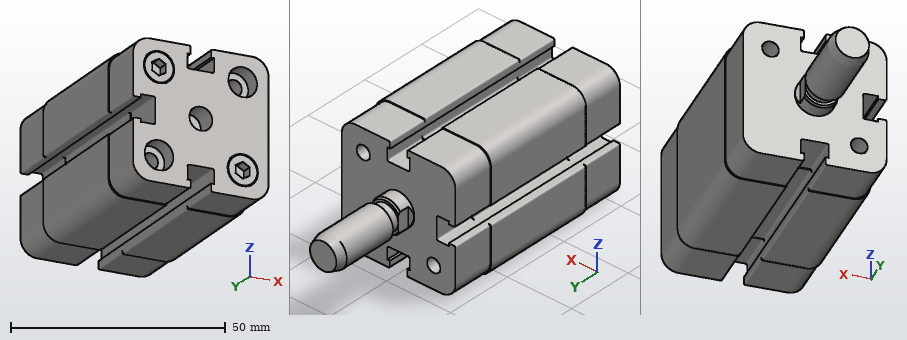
import cadquery as cq
import math


barrel_width = 36.1
cap_inset = 0.25
cap_width = barrel_width - 2 * cap_inset
corner_radius = 4.4
cap_length = 12.25
barrel_length = 33.5
body_length = barrel_length + 2 * cap_length

slot_mouth_width = 5.3
slot_inner_width = 6.9
slot_depth = 5.8
lip_inner_height = 15.7
slot_round = 0.5
slot_angles = (0, 90, 180)

hole_offset = 11.0
mount_bore_dia = 7.5
mount_bore_depth = 4.6
mount_hole_dia = 4.1
screw_recess_dia = 8.0
screw_head_dia = 7.5
screw_recess_depth = mount_bore_depth
hex_across_flats = 3.6
hex_depth = 2.95
center_hole_dia = 6.0
center_hole_depth = 6.0

total_length = 84.5
rod_radius = 10.0 / 2
neck_radius = 7.9 / 2
tip_radius = 8.3 / 2
tip_length = 2.7
collar_end = 62.5
collar_chamfer_length = 0.6
collar_chamfer_height = 0.3
thread_start = 65.5
thread_cone_length = 0.5
flat_half_width = 8.0 / 2
flat_land = 0.2
run_out_start = body_length + flat_land
flat_start = run_out_start + rod_radius - flat_half_width
rod_overlap = 0.85


def bar_along_y(sketch, start, length):
    """Extrude an XZ outline from Y = start towards +Y."""
    return sketch.extrude(-length).translate((0, start, 0))


def t_slot(face_distance, start, length):
    """T-slot cutter on the +Z side of a section whose flat face is at face_distance."""
    floor = face_distance - slot_depth
    half_mouth = slot_mouth_width / 2
    half_inner = slot_inner_width / 2
    flare = half_mouth + slot_round
    outline = (
        cq.Workplane("XZ")
        .moveTo(-half_inner + slot_round, floor)
        .lineTo(half_inner - slot_round, floor)
        .radiusArc((half_inner, floor + slot_round), -slot_round)
        .lineTo(half_inner, lip_inner_height)
        .lineTo(half_mouth, lip_inner_height)
        .lineTo(half_mouth, face_distance - slot_round)
        .radiusArc((flare, face_distance), slot_round)
        .lineTo(-flare, face_distance)
        .radiusArc((-half_mouth, face_distance - slot_round), slot_round)
        .lineTo(-half_mouth, lip_inner_height)
        .lineTo(-half_inner, lip_inner_height)
        .lineTo(-half_inner, floor + slot_round)
        .radiusArc((-half_inner + slot_round, floor), -slot_round)
        .close()
    )
    return bar_along_y(outline, start, length)


def body_section(width, start, length):
    """Rounded square section with its three T-slots."""
    section = bar_along_y(cq.Workplane("XZ").rect(width, width), start, length)
    section = section.edges("|Y").fillet(corner_radius)
    slot = t_slot(width / 2, start, length)
    for angle in slot_angles:
        section = section.cut(slot.rotate((0, 0, 0), (0, 1, 0), -angle))
    return section


def round_bars(points, diameter, length):
    """Cylinders from the rear face towards +Y, one at each (x, z) point."""
    return bar_along_y(cq.Workplane("XZ").pushPoints(points).circle(diameter / 2), 0, length)


def piston_rod():
    """Turned rod with collar, neck, thread and tapered tip, and two wrench flats on the collar."""
    rod = (
        cq.Workplane("XY")
        .moveTo(0, body_length - rod_overlap)
        .lineTo(rod_radius, body_length - rod_overlap)
        .lineTo(rod_radius, collar_end - collar_chamfer_length)
        .lineTo(rod_radius - collar_chamfer_height, collar_end)
        .lineTo(neck_radius, collar_end)
        .lineTo(neck_radius, thread_start - thread_cone_length)
        .lineTo(rod_radius, thread_start)
        .lineTo(rod_radius, total_length - tip_length)
        .lineTo(tip_radius, total_length)
        .lineTo(0, total_length)
        .close()
        .revolve(360, (0, 0), (0, 1))
    )
    flat_cut = (
        cq.Workplane("XY")
        .moveTo(flat_half_width, collar_end)
        .lineTo(flat_half_width, flat_start)
        .lineTo(rod_radius, run_out_start)
        .lineTo(rod_radius, collar_end)
        .close()
        .extrude(rod_radius, both=True)
    )
    return rod.cut(flat_cut).cut(flat_cut.mirror("YZ"))


def hex_sockets(points):
    """Hexagonal sockets with a corner pointing up, one at each (x, z) point."""
    corner_dia = hex_across_flats / math.cos(math.pi / 6)
    sketch = cq.Sketch().push(points).regularPolygon(corner_dia / 2, 6)
    return bar_along_y(cq.Workplane("XZ").placeSketch(sketch), 0, hex_depth)


mount_points = [(-hole_offset, -hole_offset), (hole_offset, hole_offset)]
screw_points = [(-hole_offset, hole_offset), (hole_offset, -hole_offset)]

body = body_section(barrel_width, cap_length, barrel_length)
for cap_start in (0, cap_length + barrel_length):
    body = body.union(body_section(cap_width, cap_start, cap_length))

body = body.cut(round_bars(mount_points, mount_hole_dia, body_length))
body = body.cut(round_bars(mount_points, mount_bore_dia, mount_bore_depth))

body = body.cut(round_bars(screw_points, screw_recess_dia, screw_recess_depth))
body = body.union(round_bars(screw_points, screw_head_dia, screw_recess_depth))
body = body.cut(hex_sockets(screw_points))

body = body.cut(round_bars([(0, 0)], center_hole_dia, center_hole_depth))

result = body.union(piston_rod())